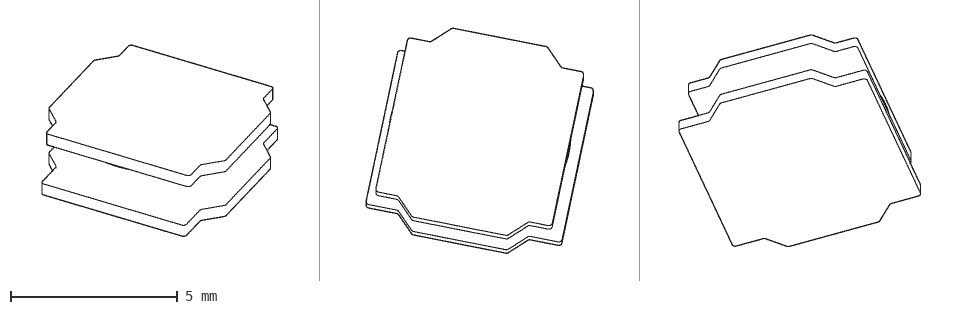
import cadquery as cq

width = 6.0
total_height = 2.02
plate_thickness = 0.4

bottom_plate_depth = 6.0
top_plate_depth = 5.4
tab_width = 4.895
side_straight_length = 2.905
corner_radius = 0.1

waist_radius = 2.23
flare_radius = 2.735

half_width = width / 2
half_tab = tab_width / 2
shoulder_start = side_straight_length / 2
shoulder_end = shoulder_start + half_width - half_tab
core_bottom = plate_thickness
core_top = total_height - plate_thickness
core_middle = total_height / 2


def flange_plate(depth, base_z):
    """Plate with tabs of the given overall depth, all upright edges rounded."""
    half_depth = depth / 2
    quarter = [(half_width, shoulder_start), (half_tab, shoulder_end), (half_tab, half_depth)]
    right_half = [(x, -y) for x, y in reversed(quarter)] + quarter
    left_half = [(-x, -y) for x, y in right_half]
    return (
        cq.Workplane("XY")
        .workplane(offset=base_z)
        .polyline(right_half + left_half)
        .close()
        .extrude(plate_thickness)
        .edges("|Z")
        .fillet(corner_radius)
    )


def spool_core():
    """Round core whose side is a single concave arc, narrowest at mid height."""
    return (
        cq.Workplane("XZ")
        .moveTo(0, core_bottom)
        .lineTo(flare_radius, core_bottom)
        .threePointArc((waist_radius, core_middle), (flare_radius, core_top))
        .lineTo(0, core_top)
        .close()
        .revolve(360, (0, 0, 0), (0, 1, 0))
    )


bottom_plate = flange_plate(bottom_plate_depth, 0)
top_plate = flange_plate(top_plate_depth, core_top)
result = bottom_plate.union(spool_core()).union(top_plate)